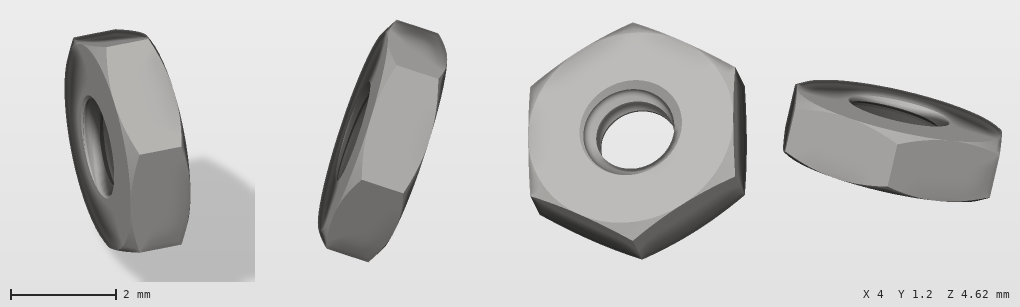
import cadquery as cq
import math

across_flats = 4.0
thickness = 1.2
side_count = 6
half_side_angle = 180 / side_count
corner_bevel_angle = 30.0

major_diameter = 2.0
pitch = 0.4
flank_angle = 30.0
sharp_height = pitch * math.sqrt(3) / 2
thread_depth = 0.75 * sharp_height
root_width = pitch / 8
turns = 4.5

countersink_depth = thread_depth

major_radius = major_diameter / 2
minor_radius = major_radius - thread_depth
corner_radius = across_flats / 2 / math.cos(math.radians(half_side_angle))
half_thickness = thickness / 2

bore_overlap = 0.02

turns_below_exit = 3
exit_turn_fraction = 0.75
exit_height = half_thickness + root_width / 2
helix_start = exit_height - (turns_below_exit + exit_turn_fraction) * pitch
helix_end = helix_start + turns * pitch


def make_hexagon():
    """Hexagonal prism along Z with two corners on the Y axis."""
    prism = cq.Workplane("XY").polygon(side_count, 2 * corner_radius).extrude(half_thickness, both=True)
    return prism.rotate((0, 0, 0), (0, 0, 1), half_side_angle)


def make_bevel_envelope():
    """Turned body whose conical ends bevel the hexagon corners."""
    face_radius = across_flats / 2
    bevel_height = (corner_radius - face_radius) * math.tan(math.radians(corner_bevel_angle))
    shoulder = half_thickness - bevel_height
    profile = [
        (0, -half_thickness),
        (face_radius, -half_thickness),
        (corner_radius, -shoulder),
        (corner_radius, shoulder),
        (face_radius, half_thickness),
        (0, half_thickness),
    ]
    return cq.Workplane("YZ").polyline(profile).close().revolve(360, (0, 0), (0, 1))


def make_bore():
    """Through cylinder at the minor diameter of the thread."""
    return cq.Workplane("XY").circle(minor_radius).extrude(thickness, both=True)


def make_countersinks():
    """Spindle that opens both ends of the bore to the major diameter."""
    throat = half_thickness - countersink_depth
    profile = [
        (0, -half_thickness),
        (major_radius, -half_thickness),
        (minor_radius, -throat),
        (minor_radius, throat),
        (major_radius, half_thickness),
        (0, half_thickness),
    ]
    return cq.Workplane("YZ").polyline(profile).close().revolve(360, (0, 0), (0, 1))


def make_groove_end(section, height):
    """Flat radial face closing the groove where its helix reaches the given height."""
    angle = 2 * math.pi * (height - helix_start) / pitch
    corners = []
    for radius, offset in section:
        corners.append(cq.Vector(radius * math.cos(angle), radius * math.sin(angle), height + offset))
    return cq.Face.makeFromWires(cq.Wire.makePolygon(corners, close=True))


def make_thread_groove():
    """Right-hand helical groove of trapezoidal section, narrow at the root and wide at the bore."""
    inner_radius = minor_radius - bore_overlap
    flank_rise = (major_radius - inner_radius) * math.tan(math.radians(flank_angle))
    root_half = root_width / 2
    mouth_half = root_half + flank_rise
    section = [
        (inner_radius, -mouth_half),
        (major_radius, -root_half),
        (major_radius, root_half),
        (inner_radius, mouth_half),
    ]
    helices = []
    for radius, offset in section:
        base = cq.Vector(0, 0, helix_start + offset)
        helices.append(cq.Wire.makeHelix(pitch, turns * pitch, radius, base).Edges()[0])
    faces = []
    for index, helix in enumerate(helices):
        faces.append(cq.Face.makeRuledSurface(helices[index - 1], helix))
    for height in (helix_start, helix_end):
        faces.append(make_groove_end(section, height))
    return cq.Workplane("XY").add(cq.Solid.makeSolid(cq.Shell.makeShell(faces)))


nut = make_hexagon().intersect(make_bevel_envelope())
nut = nut.cut(make_bore())
nut = nut.cut(make_thread_groove())
nut = nut.cut(make_countersinks())

result = nut.rotate((0, 0, 0), (1, 0, 0), 90)